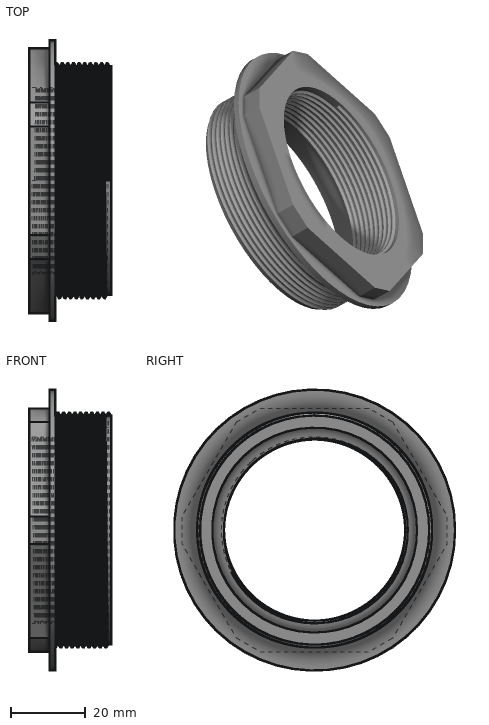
import cadquery as cq
import math

head_length = 5.4
flange_thickness = 1.6
overall_length = 22.0
flange_end = head_length + flange_thickness

flange_diameter = 75.09
across_flats = 65.0
across_corners = 70.8
flat_rotation = 0
facet_rotation = 30

pitch = 1.5
crest_width = pitch / 8
flank_angle = math.radians(30)
embed_depth = 0.1
outer_root_diameter = 61.17
outer_crest_diameter = 62.8
outer_turns = 10
outer_thread_start = flange_end - pitch / 2
inner_root_diameter = 49.8
inner_crest_diameter = 48.376
inner_turns = 10
inner_thread_start = 1.25

relief_diameter = 54.7
relief_length = 7.0


def cylinder(diameter, start, end):
    return cq.Workplane("YZ", origin=(start, 0, 0)).circle(diameter / 2).extrude(end - start)


def hexagonal_prism(flat_distance, length, rotation):
    corner_circle = flat_distance / math.cos(math.pi / 6)
    prism = cq.Workplane("YZ").polygon(6, corner_circle).extrude(length)
    return prism.rotate((0, 0, 0), (1, 0, 0), rotation)


def thread_ridge(root_diameter, crest_diameter, start, turns):
    """Helical ridge that rises from the root to the crest diameter and begins at +Z."""
    root_radius = root_diameter / 2
    crest_radius = crest_diameter / 2
    outward = math.copysign(1, crest_radius - root_radius)
    base_radius = root_radius - outward * embed_depth
    base_half = crest_width / 2 + abs(crest_radius - base_radius) * math.tan(flank_angle)
    helix = cq.Wire.makeHelix(pitch, pitch * turns, root_radius)
    ridge = (
        cq.Workplane("XZ")
        .moveTo(base_radius, -base_half)
        .lineTo(crest_radius, -crest_width / 2)
        .lineTo(crest_radius, crest_width / 2)
        .lineTo(base_radius, base_half)
        .close()
        .sweep(cq.Workplane(helix), isFrenet=True)
    )
    ridge = ridge.rotate((0, 0, 0), (0, 1, 0), 90)
    ridge = ridge.rotate((0, 0, 0), (1, 0, 0), 180)
    return ridge.translate((start, 0, 0))


def head():
    hexagon = hexagonal_prism(across_flats, head_length, flat_rotation)
    return hexagon.intersect(hexagonal_prism(across_corners, head_length, facet_rotation))


def body():
    flange = cylinder(flange_diameter, head_length, flange_end)
    sleeve = cylinder(outer_root_diameter, flange_end, overall_length)
    bore = cylinder(inner_root_diameter, 0, overall_length)
    return head().union(flange).union(sleeve).cut(bore)


outer_thread = thread_ridge(outer_root_diameter, outer_crest_diameter, outer_thread_start, outer_turns)
inner_thread = thread_ridge(inner_root_diameter, inner_crest_diameter, inner_thread_start, inner_turns)

relief = cylinder(relief_diameter, overall_length - relief_length, overall_length)

result = body().union(outer_thread).union(inner_thread).cut(relief)